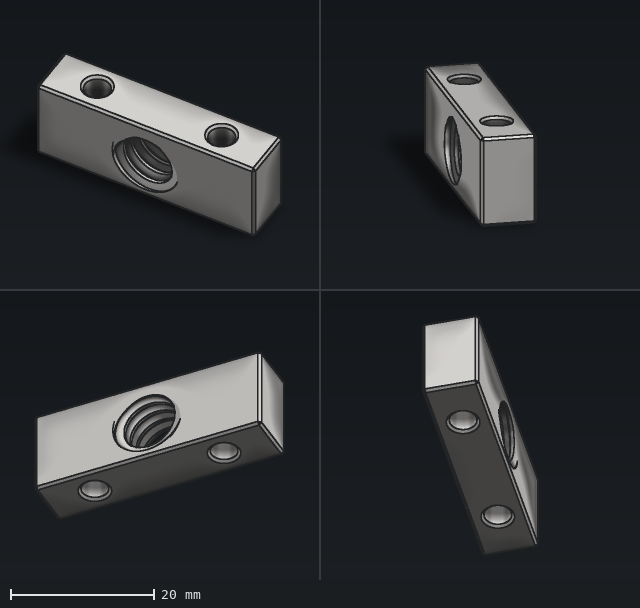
import cadquery as cq

length = 35.0
width = 8.0
height = 13.0
edge_chamfer = 0.4

hole_diameter = 3.9
hole_mouth_diameter = 4.7
hole_spacing = 20.0

minor_diameter = 8.33
major_diameter = 10.7
pitch = 2.0
root_width = 0.8
mouth_width = 1.45
run_in_turns = 6
run_out_turns = 1
bore_overlap = 0.28


def make_block():
    return cq.Workplane("XY").box(length, width, height).edges().chamfer(edge_chamfer)


def make_mounting_hole(x):
    """Through hole cutter with a 45 degree chamfer at both ends."""
    radius = hole_diameter / 2
    mouth_radius = hole_mouth_diameter / 2
    top = height / 2
    chamfer_end = top - (mouth_radius - radius)
    return (
        cq.Workplane("XZ")
        .moveTo(0, -top)
        .lineTo(mouth_radius, -top)
        .lineTo(radius, -chamfer_end)
        .lineTo(radius, chamfer_end)
        .lineTo(mouth_radius, top)
        .lineTo(0, top)
        .close()
        .revolve(360, (0, 0), (0, 1))
        .translate((x, 0, 0))
    )


def make_bore():
    return cq.Workplane("XZ").circle(minor_diameter / 2).extrude(width / 2, both=True)


def make_thread_groove():
    """Right-hand helical groove whose middle meets the -Y face at the bottom of the bore."""
    minor_radius = minor_diameter / 2
    major_radius = major_diameter / 2
    flank_slope = (mouth_width - root_width) / 2 / (major_radius - minor_radius)
    inner_radius = minor_radius - bore_overlap
    half_inner = mouth_width / 2 + flank_slope * bore_overlap
    half_root = root_width / 2

    helix_length = (run_in_turns + run_out_turns) * pitch
    helix = cq.Wire.makeHelix(pitch, helix_length, minor_radius)
    groove = (
        cq.Workplane("XZ")
        .moveTo(inner_radius, -half_inner)
        .lineTo(major_radius, -half_root)
        .lineTo(major_radius, half_root)
        .lineTo(inner_radius, half_inner)
        .close()
        .sweep(cq.Workplane(obj=helix), isFrenet=True)
    )
    start = width / 2 - run_in_turns * pitch
    return (
        groove.translate((0, 0, start))
        .rotate((0, 0, 0), (0, 0, 1), -90)
        .rotate((0, 0, 0), (1, 0, 0), 90)
    )


result = make_block()
for side in (-1, 1):
    result = result.cut(make_mounting_hole(side * hole_spacing / 2))
result = result.cut(make_bore())
result = result.cut(make_thread_groove().intersect(make_block()))